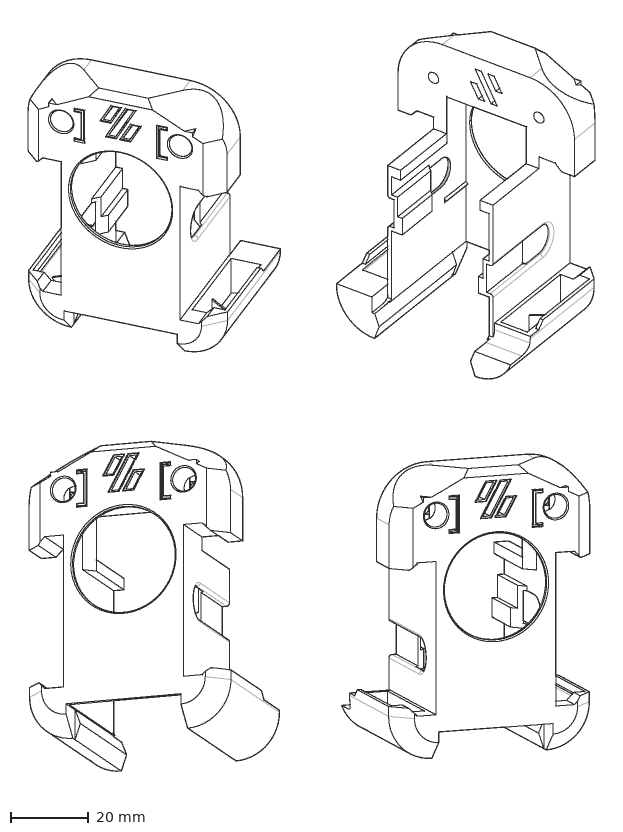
import cadquery as cq

HALF_WIDTH = 27.5
HEIGHT = 75.95
DEPTH = 42.0

BODY_HALF = 16.4
BODY_BACK = 34.95
BODY_TOP = 49.1
WALL = 1.2
CAVITY_HALF = BODY_HALF - WALL
CAVITY_TOP = 60.4

LIP_HALF = 12.4
LIP_BOTTOM = 46.0
LIP_START = 11.2

BORE_DIA = 28.0
BORE_CHAMFER = 0.4
BORE_Z = 44.9

HEAD_DEPTH = 14.1
HEAD_BOTTOM = 50.7
HEAD_RADIUS = 13.8
TOP_CHAMFER = 2.0
SIDE_CHAMFER = 4.8
FACET_X = 8.8

STEP = 2.0
STEP_OUTER = 23.5
STEP_INNER = STEP_OUTER - STEP

SCREW_X = BODY_HALF
SCREW_Z = 64.7
SCREW_DIA = 3.2
SCREW_HEAD_DIA = 6.2
SCREW_HEAD_DEPTH = 9.1
SCREW_CHAMFER = 0.4
BRIDGE_LAYER = 0.3

PAD_OUTER = 19.9
PAD_INNER = 12.8
PAD_TOP = 69.6
PAD_DEPTH = 3.05
GROOVE_INNER = 9.95
GROOVE_BOTTOM = 59.7
GROOVE_WIDTH = 1.0
GROOVE_STEP = 0.45
GROOVE_DEPTH = 0.9

WINDOW_WIDTH = 3.0
WINDOW_TOP = 72.7
WINDOW_BOTTOM = 63.0
WINDOW_SHORT = 5.3
WINDOW_SLOPE = 0.56
WINDOW_PITCH = 3.95
WINDOW_RIM = 0.45

SLOT_RADIUS = 4.3
SLOT_ROUND = 0.8
SLOT_CENTER_Y = 12.45
SLOT_DEPTH = 2.0
LEFT_SLOT_Z = 25.9
RIGHT_SLOT_Z = 34.95
BLOCK_HALF_HEIGHT = 5.55
BLOCK_INNER = 11.85
BLOCK_START = 18.0
BLOCK_STEP_X = 13.3
BLOCK_STEP_DROP = 0.45

RIDGE_Z = 25.75
RIDGE_HALF = 0.645
RIDGE_END = 11.0

BASE_TOP = 14.4
BASE_UNDERSIDE = 7.9
ARM_RADIUS = 11.85
ARM_INNER = HALF_WIDTH - ARM_RADIUS
ARM_CHAMFER = 5.2
ARM_TOP = BASE_TOP - STEP
HOOK_TIP = 14.2
HOOK_Z = 4.2
HOOK_START = 6.8
LIP_WALL = 1.0
LIP_END = 28.3

POCKET_WALL = 1.8
POCKET_INNER = 17.5
POCKET_FRONT = 5.85
POCKET_BACK = 32.9
RIB_WIDTH = 0.6
RIB_TOP = 7.6
RIB_OUTER_Y = 14.4
RIB_INNER_Y = 20.1

TAIL_START = 34.2
TAIL_TOP = 7.7
TAIL_FILLET = 2.7
RIGHT_TAIL_CUT_X = 16.5

FAR = 113.95


def box(x0, x1, y0, y1, z0, z1):
    return cq.Workplane("XY").box(x1 - x0, y1 - y0, z1 - z0, centered=False).translate((x0, y0, z0))


def along_y(sketch_start, y0, y1):
    """Extrude an XZ outline from y0 to y1."""
    return sketch_start.extrude(-(y1 - y0)).translate((0, y0, 0))


def xz_prism(points, y0, y1):
    return along_y(cq.Workplane("XZ").polyline(points).close(), y0, y1)


def xy_prism(points, z0, z1):
    return cq.Workplane("XY").workplane(offset=z0).polyline(points).close().extrude(z1 - z0)


def y_cylinder(x, z, diameter, y0, y1):
    return along_y(cq.Workplane("XZ").center(x, z).circle(diameter / 2), y0, y1)


def rim_cone(x, z, diameter, chamfer):
    """45 degree countersink at the front face for a hole of the given diameter."""
    radius = diameter / 2
    cone = cq.Solid.makeCone(radius + chamfer, radius, chamfer, cq.Vector(x, 0, z), cq.Vector(0, 1, 0))
    return cq.Workplane(cone)


def mirrored(shape):
    return shape.mirror("YZ")


def both_sides(shape):
    return shape.union(mirrored(shape))


def half_space(origin, normal):
    """Large block lying on the side of the plane that its normal points to."""
    x_dir = cq.Vector(*normal).cross(cq.Vector(0, 1, 0))
    plane = cq.Plane(origin=origin, xDir=x_dir.toTuple(), normal=normal)
    return cq.Workplane(plane).rect(FAR, FAR).extrude(FAR)


def make_head():
    head = box(-HALF_WIDTH, HALF_WIDTH, 0, HEAD_DEPTH, HEAD_BOTTOM, HEIGHT)
    head = head.edges("|Y and >Z").fillet(HEAD_RADIUS)
    underside = [
        (-STEP_OUTER, HEAD_BOTTOM), (-STEP_INNER, HEAD_BOTTOM + STEP),
        (STEP_INNER, HEAD_BOTTOM + STEP), (STEP_OUTER, HEAD_BOTTOM),
    ]
    head = head.cut(xz_prism(underside, 0, HEAD_DEPTH))

    top_edge_z = HEIGHT - TOP_CHAMFER
    side_edge_x = HALF_WIDTH - SIDE_CHAMFER
    head = head.cut(half_space((0, 0, top_edge_z), (0, -1, 1)))
    for side in (-1, 1):
        head = head.cut(half_space((side * side_edge_x, 0, HEIGHT), (side, -1, 0)))
        corner = half_space((side * FACET_X, 0, top_edge_z), (side, -1, 2))
        pad = box(-PAD_OUTER, -PAD_INNER, 0, PAD_DEPTH, SCREW_Z, PAD_TOP)
        head = head.cut(corner.cut(both_sides(pad)))
    return head


def make_base():
    outline = (
        cq.Workplane("XZ")
        .moveTo(-ARM_INNER, 0)
        .radiusArc((-HALF_WIDTH, ARM_RADIUS), ARM_RADIUS)
        .lineTo(-HALF_WIDTH, BASE_TOP)
        .lineTo(0, BASE_TOP)
        .lineTo(0, BASE_UNDERSIDE)
        .lineTo(-ARM_INNER, BASE_UNDERSIDE)
        .close()
    )
    base = along_y(outline, 0, DEPTH)
    outer_front = cq.selectors.BoxSelector((-FAR, -0.75, -0.75), (-ARM_INNER - 0.75, 0.75, BASE_TOP - 0.75))
    base = base.edges(outer_front).chamfer(ARM_CHAMFER)

    hook = [(-ARM_INNER, BASE_UNDERSIDE), (-HOOK_TIP, HOOK_Z), (-ARM_INNER, 0)]
    hook_root = [(-POCKET_INNER, BASE_UNDERSIDE), (-POCKET_INNER, HOOK_Z)]
    base = base.union(xz_prism(hook + hook_root[::-1], HOOK_START, DEPTH))

    front_step = [
        (-BODY_HALF, BASE_TOP), (-STEP_OUTER, BASE_TOP),
        (-STEP_INNER, ARM_TOP), (-BODY_HALF, ARM_TOP),
    ]
    base = base.cut(xz_prism(front_step, 0, POCKET_FRONT))

    lip_inner = HALF_WIDTH - LIP_WALL
    base = base.cut(box(-lip_inner, -BODY_HALF, POCKET_FRONT, DEPTH, ARM_TOP, BASE_TOP))
    lip_end = [
        (LIP_END, BASE_TOP), (LIP_END + STEP, ARM_TOP), (DEPTH, ARM_TOP), (DEPTH, BASE_TOP),
    ]
    lip_cut = cq.Workplane("YZ").polyline(lip_end).close().extrude(-HALF_WIDTH)
    base = base.cut(lip_cut)
    base = base.cut(make_pocket())
    return both_sides(base)


def make_pocket():
    """Arm pocket with a round floor parallel to the arm and a thin diagonal rib across it."""
    floor_radius = ARM_RADIUS - POCKET_WALL
    pocket_outer = -ARM_INNER - floor_radius
    tube = y_cylinder(-ARM_INNER, ARM_RADIUS, 2 * floor_radius, POCKET_FRONT, POCKET_BACK)
    upper = box(pocket_outer, -POCKET_INNER, POCKET_FRONT, POCKET_BACK, ARM_RADIUS, BASE_TOP)
    limit = box(pocket_outer, -POCKET_INNER, POCKET_FRONT, POCKET_BACK, 0, BASE_TOP)
    pocket = tube.intersect(limit).union(upper)

    rib_plan = [
        (pocket_outer, RIB_OUTER_Y), (-POCKET_INNER, RIB_INNER_Y),
        (-POCKET_INNER, RIB_INNER_Y - RIB_WIDTH), (pocket_outer, RIB_OUTER_Y - RIB_WIDTH),
    ]
    return pocket.cut(xy_prism(rib_plan, 0, RIB_TOP))


def make_cavity():
    """Space between the side walls, open at the rear and at the bottom."""
    lower = box(-CAVITY_HALF, CAVITY_HALF, WALL, FAR, 0, LIP_BOTTOM)
    narrowing = CAVITY_HALF - LIP_HALF
    upper_plan = [
        (-CAVITY_HALF, WALL), (-CAVITY_HALF, LIP_START), (-LIP_HALF, LIP_START + narrowing),
        (-LIP_HALF, FAR), (LIP_HALF, FAR), (LIP_HALF, LIP_START + narrowing),
        (CAVITY_HALF, LIP_START), (CAVITY_HALF, WALL),
    ]
    cavity = lower.union(xy_prism(upper_plan, LIP_BOTTOM, CAVITY_TOP))
    return cavity.cut(box(-FAR, FAR, 0, FAR, 0, BASE_UNDERSIDE))


def make_left_block(slot_z):
    """Block on the inside of the left wall behind the slot, with a 45 degree front."""
    reach = CAVITY_HALF - BLOCK_INNER
    plan = [
        (-CAVITY_HALF, BLOCK_START), (-BLOCK_INNER, BLOCK_START + reach),
        (-BLOCK_INNER, BODY_BACK), (-CAVITY_HALF, BODY_BACK),
    ]
    top = slot_z + BLOCK_HALF_HEIGHT
    block = xy_prism(plan, slot_z - BLOCK_HALF_HEIGHT, top)
    step = box(-BLOCK_STEP_X, -BLOCK_INNER, BLOCK_START, BODY_BACK, slot_z - BLOCK_STEP_DROP, top)
    return block.cut(step)


def slot_bar(radius, depth, slot_z):
    """Slot shape open to the rear, running inward from the outside of the left wall."""
    end = cq.Workplane("YZ").center(SLOT_CENTER_Y, slot_z).circle(radius).extrude(depth)
    bar = box(0, depth, SLOT_CENTER_Y, BODY_BACK, slot_z - radius, slot_z + radius)
    return end.union(bar).translate((-BODY_HALF, 0, 0))


def make_left_slot(slot_z):
    """Rear-open slot with a round front end and a convex rounding along its outer rim."""
    rim_radius = SLOT_RADIUS + SLOT_ROUND
    section_x = -BODY_HALF + SLOT_ROUND

    def section():
        return (
            cq.Workplane("XZ", origin=(0, SLOT_CENTER_Y, slot_z))
            .moveTo(-BODY_HALF, 0)
            .lineTo(-BODY_HALF, rim_radius)
            .radiusArc((section_x, SLOT_RADIUS), -SLOT_ROUND)
            .lineTo(section_x, 0)
            .close()
        )

    end = section().revolve(360, (0, 0), (1, 0))
    upper = section().extrude(SLOT_CENTER_Y - BODY_BACK)
    lower = upper.mirror("XY", (0, 0, slot_z))
    rim = end.union(upper).union(lower)
    return slot_bar(SLOT_RADIUS, SLOT_DEPTH, slot_z).union(rim)


def make_screw_hole():
    bore = y_cylinder(-SCREW_X, SCREW_Z, SCREW_HEAD_DIA, 0, SCREW_HEAD_DEPTH)
    rim = rim_cone(-SCREW_X, SCREW_Z, SCREW_HEAD_DIA, SCREW_CHAMFER)
    through = y_cylinder(-SCREW_X, SCREW_Z, SCREW_DIA, 0, HEAD_DEPTH)
    half = SCREW_DIA / 2
    strip_end = SCREW_HEAD_DEPTH + BRIDGE_LAYER
    tall = box(-SCREW_X - half, -SCREW_X + half, 0, strip_end, SCREW_Z - FAR, SCREW_Z + FAR)
    tall = tall.intersect(y_cylinder(-SCREW_X, SCREW_Z, SCREW_HEAD_DIA, 0, strip_end))
    square_end = strip_end + BRIDGE_LAYER
    square = box(-SCREW_X - half, -SCREW_X + half, 0, square_end, SCREW_Z - half, SCREW_Z + half)
    return bore.union(rim).union(through).union(tall).union(square)


def make_clip_groove():
    """C-shaped groove beside the screw pad with a shallow inner step."""
    def groove(width, depth):
        outer = box(-PAD_INNER, -GROOVE_INNER, 0, depth, GROOVE_BOTTOM, PAD_TOP)
        core = box(-PAD_INNER, -GROOVE_INNER - width, 0, depth, GROOVE_BOTTOM + width, PAD_TOP - width)
        return outer.cut(core)
    return groove(GROOVE_WIDTH, GROOVE_DEPTH / 2).union(groove(GROOVE_STEP, GROOVE_DEPTH))


def make_windows():
    mid_z = (WINDOW_TOP + WINDOW_BOTTOM) / 2

    def window(x_shift, z0, z1):
        def line_x(z):
            return x_shift + (z - mid_z) * WINDOW_SLOPE

        half = WINDOW_WIDTH / 2
        points = [
            (line_x(z0) - half, z0), (line_x(z0) + half, z0),
            (line_x(z1) + half, z1), (line_x(z1) - half, z1),
        ]
        outline = cq.Workplane("XZ").polyline(points).close()
        rim = along_y(outline, 0, WINDOW_RIM)
        inner = cq.Workplane("XZ").polyline(points).close().offset2D(-WINDOW_RIM)
        return rim.union(along_y(inner, 0, HEAD_DEPTH))

    windows = window(0, WINDOW_BOTTOM, WINDOW_TOP)
    windows = windows.union(window(-WINDOW_PITCH, WINDOW_TOP - WINDOW_SHORT, WINDOW_TOP))
    return windows.union(window(WINDOW_PITCH, WINDOW_BOTTOM, WINDOW_BOTTOM + WINDOW_SHORT))


def make_ridge():
    points = [
        (CAVITY_HALF, RIDGE_Z - RIDGE_HALF), (CAVITY_HALF - RIDGE_HALF, RIDGE_Z),
        (CAVITY_HALF, RIDGE_Z + RIDGE_HALF),
    ]
    return xz_prism(points, WALL, RIDGE_END)


def make_tail_cut():
    """Lowers all of the left arm's rear end, but only the inner edge of the right arm's."""
    cut = box(-FAR, RIGHT_TAIL_CUT_X, TAIL_START, FAR, TAIL_TOP, BASE_TOP)
    return cut.edges("|X and <Y and <Z").fillet(TAIL_FILLET)


lower_body = box(-BODY_HALF, BODY_HALF, 0, BODY_BACK, BASE_UNDERSIDE, BODY_TOP)
neck = box(-BODY_HALF, BODY_HALF, 0, HEAD_DEPTH, BODY_TOP, HEAD_BOTTOM + STEP)
result = make_base().cut(make_tail_cut())
result = result.union(lower_body).union(neck).union(make_head())

result = result.cut(make_cavity())
result = result.union(make_left_block(LEFT_SLOT_Z))
result = result.union(mirrored(make_left_block(RIGHT_SLOT_Z)))
result = result.union(make_ridge())

bore = y_cylinder(0, BORE_Z, BORE_DIA, 0, WALL)
result = result.cut(bore.union(rim_cone(0, BORE_Z, BORE_DIA, BORE_CHAMFER)))
result = result.cut(make_left_slot(LEFT_SLOT_Z))
result = result.cut(mirrored(make_left_slot(RIGHT_SLOT_Z)))
result = result.cut(both_sides(make_screw_hole()))
result = result.cut(both_sides(make_clip_groove()))
result = result.cut(make_windows())